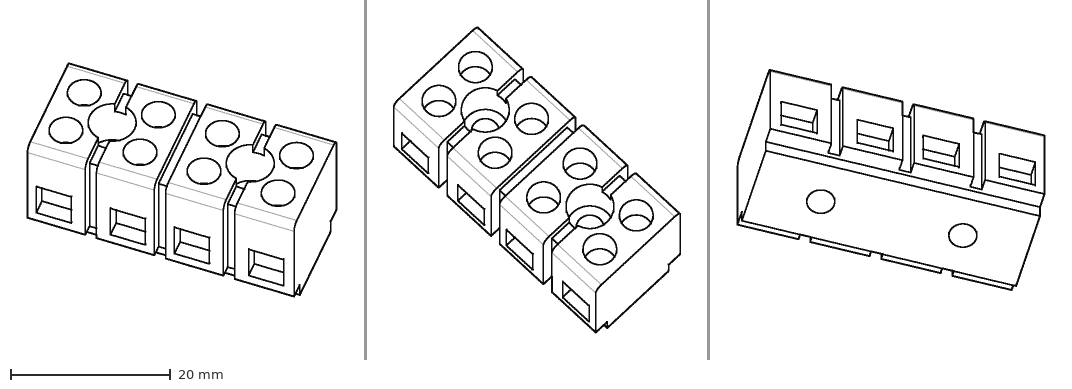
import cadquery as cq

length = 35.75
width = 15
height = 16.1
edge_radius = 1.0

foot_width = 10.95
foot_height = 2.05
body_height = height - foot_height

section_length = 7.75
groove_count = 3
groove_width = 1.5
groove_depth = 1.5
section_pitch = section_length + groove_width
groove_starts = [section_length + i * section_pitch for i in range(groove_count)]

mount_xs = [start + groove_width / 2 for start in (groove_starts[0], groove_starts[-1])]
mount_diameter = 3.5
counterbore_diameter = 6.0
counterbore_depth = 7.15

terminal_offset = 4.97
terminal_xs = [x + side * terminal_offset for x in mount_xs for side in (-1, 1)]
screw_diameter = 4.22
screw_depth = 5
screw_spacing = 6.47
opening_width = 4.7
opening_bottom = 3.58
opening_height = 5.22
opening_depth = 2.0


def box(size_x, size_y, size_z, x, y, z):
    """Box centred on (x, y) with its bottom at z."""
    return cq.Workplane("XY").box(size_x, size_y, size_z, centered=(True, True, False)).translate((x, y, z))


def make_block():
    """Body with rounded upper long edges, standing on the foot."""
    body = box(length, width, body_height, length / 2, 0, foot_height)
    body = body.edges("|X and >Z").fillet(edge_radius)
    foot = box(length, foot_width, foot_height, length / 2, 0, 0)
    return body.union(foot)


def make_groove(start_x):
    """Groove around the top and both long sides, leaving a smaller core."""
    center_x = start_x + groove_width / 2
    slab = box(groove_width, width, body_height, center_x, 0, foot_height)
    core = box(groove_width, width - 2 * groove_depth, body_height - groove_depth, center_x, 0, foot_height)
    return slab.cut(core)


def drill_mounts(block):
    """Counterbored through holes on the centre line."""
    return (
        block.faces(">Z").workplane(origin=(0, 0, height))
        .pushPoints([(x, 0) for x in mount_xs])
        .cboreHole(mount_diameter, counterbore_diameter, counterbore_depth)
    )


def drill_screws(block):
    """Blind screw holes in two rows."""
    points = [(x, side * screw_spacing / 2) for x in terminal_xs for side in (-1, 1)]
    return block.faces(">Z").workplane(origin=(0, 0, height)).pushPoints(points).hole(screw_diameter, screw_depth)


def cut_openings(block):
    """Rectangular wire pockets in both long sides."""
    for x in terminal_xs:
        for side in (-1, 1):
            y = side * (width - opening_depth) / 2
            block = block.cut(box(opening_width, opening_depth, opening_height, x, y, opening_bottom))
    return block


block = make_block()
for groove_start in groove_starts:
    block = block.cut(make_groove(groove_start))
block = drill_mounts(block)
block = drill_screws(block)
result = cut_openings(block)